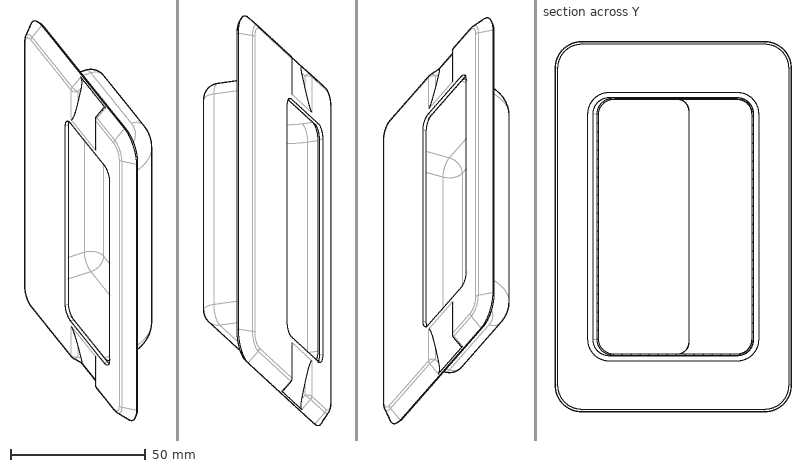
import cadquery as cq


PLATE_WIDTH = 88.0
PLATE_LENGTH = 138.0
PLATE_THICKNESS = 5.5
PLATE_CORNER_RADIUS = 10.0
BACK_BEVEL = 1.0
RIM_DEPTH = PLATE_THICKNESS - BACK_BEVEL
BEVEL_ANGLE = 45.0
EDGE_ROUNDING = 1.7

SKIN_THICKNESS = 1.4
OPENING_LEFT = -5.8
OPENING_RIGHT = 30.8
OPENING_LENGTH = 95.0
OPENING_CORNER_RADIUS = 4.4

NOTCH_CENTER_X = 9.2
NOTCH_WIDTH = 16.5
NOTCH_ROUNDING = 2.0
RAMP_START_Z = 49.5
RAMP_END_DEPTH = 4.1

TOTAL_DEPTH = 26.0
CUP_WIDTH = 59.9
CUP_LENGTH = 96.2
CUP_WALL = 0.7
CUP_CORNER_RADIUS = 6.1
CUP_GRIP_RADIUS = TOTAL_DEPTH - PLATE_THICKNESS
FLANGE_MARGIN = 2.0

SELECT_MARGIN = 0.1


def rounded_block(x_min, x_max, length, y_min, y_max, corner_radius):
    """Block centred on Z = 0 whose four edges along Y are rounded."""
    return (
        cq.Workplane("XY")
        .box(x_max - x_min, y_max - y_min, length, centered=(False, False, True))
        .translate((x_min, y_min, 0))
        .edges("|Y")
        .fillet(corner_radius)
    )


def flange_block():
    """Outline of the cup flange, which is also the recess it sits in."""
    half_width = CUP_WIDTH / 2 + FLANGE_MARGIN
    return rounded_block(
        -half_width,
        half_width,
        CUP_LENGTH + 2 * FLANGE_MARGIN,
        SKIN_THICKNESS,
        PLATE_THICKNESS,
        CUP_CORNER_RADIUS + FLANGE_MARGIN,
    )


def blank_plate():
    """Rounded plate, widest near its back, bevelled from there to both faces."""
    rim = (
        cq.Workplane("XZ", origin=(0, RIM_DEPTH, 0))
        .sketch()
        .rect(PLATE_WIDTH, PLATE_LENGTH)
        .vertices()
        .fillet(PLATE_CORNER_RADIUS)
        .finalize()
    )
    front_part = rim.extrude(RIM_DEPTH, taper=BEVEL_ANGLE)
    back_part = rim.extrude(-BACK_BEVEL, taper=BEVEL_ANGLE)
    return front_part.union(back_part).faces("<Y").edges().fillet(EDGE_ROUNDING)


def rounded_channel(plate):
    """Material a full-length channel with rounded front edges takes out of the plate."""
    channel = (
        cq.Workplane("XY")
        .box(NOTCH_WIDTH, PLATE_THICKNESS, PLATE_LENGTH, centered=(True, False, True))
        .translate((NOTCH_CENTER_X, 0, 0))
    )
    split_plate = plate.cut(channel)
    left_edge_x = NOTCH_CENTER_X - NOTCH_WIDTH / 2
    right_edge_x = NOTCH_CENTER_X + NOTCH_WIDTH / 2
    channel_front_edges = cq.selectors.BoxSelector(
        (left_edge_x - SELECT_MARGIN, -SELECT_MARGIN, -PLATE_LENGTH),
        (right_edge_x + SELECT_MARGIN, RIM_DEPTH - SELECT_MARGIN, PLATE_LENGTH),
    )
    rounded = split_plate.edges(channel_front_edges).fillet(NOTCH_ROUNDING)
    return plate.cut(rounded)


def ramp_wedge():
    """Space above the sloping floor of the notch at the +Z end."""
    end_z = PLATE_LENGTH / 2
    return (
        cq.Workplane("YZ")
        .polyline([(0, RAMP_START_Z), (RAMP_END_DEPTH, end_z), (0, end_z)])
        .close()
        .extrude(PLATE_WIDTH / 2, both=True)
    )


def make_cover():
    plate = blank_plate()
    top_notch = rounded_channel(plate).intersect(ramp_wedge())
    opening = rounded_block(
        OPENING_LEFT, OPENING_RIGHT, OPENING_LENGTH, 0, SKIN_THICKNESS, OPENING_CORNER_RADIUS
    )
    cover = plate.cut(opening).cut(flange_block())
    for notch in (top_notch, top_notch.mirror("XY")):
        cover = cover.cut(notch)
    return cover


def tub(inset):
    """Cup form shrunk by an inset: tightly rounded on the left, swept round on the right."""
    half_width = CUP_WIDTH / 2 - inset
    back_y = TOTAL_DEPTH - inset
    corner_radius = CUP_CORNER_RADIUS - inset
    grip_radius = CUP_GRIP_RADIUS - inset
    profile = (
        cq.Workplane("XY")
        .moveTo(-half_width, SKIN_THICKNESS)
        .lineTo(half_width, SKIN_THICKNESS)
        .lineTo(half_width, back_y - grip_radius)
        .radiusArc((half_width - grip_radius, back_y), -grip_radius)
        .lineTo(corner_radius - half_width, back_y)
        .radiusArc((-half_width, back_y - corner_radius), -corner_radius)
        .close()
    )
    block = profile.extrude(CUP_LENGTH / 2 - inset, both=True)
    return block.faces("<Z or >Z").edges("not <Y").fillet(corner_radius)


def make_cup():
    return tub(0).union(flange_block()).cut(tub(CUP_WALL))


cover = make_cover()
cup = make_cup()

result = cq.Compound.makeCompound([cover.solids().val(), cup.solids().val()])